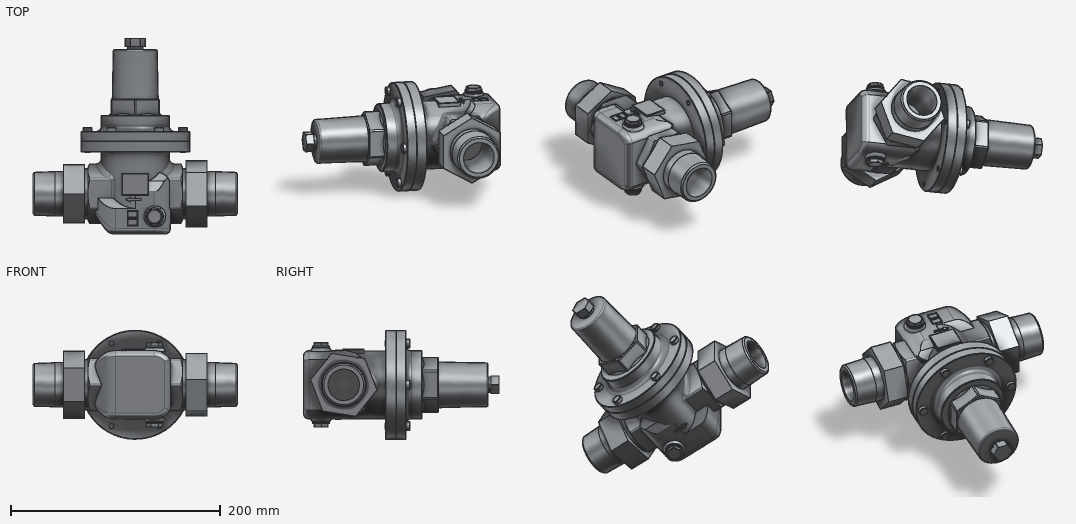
import cadquery as cq
import math


part_length = 195.0
bore_dia = 30.0
tube_dia = 42.7
thread_start_dia = 42.5
thread_end_dia = 41.0
thread_length = 21.0
tube_chamfer = 1.5
neck_dia = 48.0
port_half_length = 45.2
port_hex_flats = 50.0
port_hex_chamfer = 2.0
port_hex_edge_radius = 2.5
port_fillet = 5.0
fillet_bottom_y = -12.0
nut_inner_x = 48.3
nut_length = 20.2
nut_hex_flats = 55.5
left_nut_turn = 30.0
right_nut_turn = 51.0

total_height = 186.62
body_bottom_y = -38.5
top_y = body_bottom_y + total_height
stud_hex_y = 140.2
housing_top_y = 137.4
cap_hex_top_y = 90.3
ring_top_y = 74.8
ring_flare_y = 64.5
flange_top_y = 59.4
flange_joint_y = 49.9
flange_bottom_y = 39.9

stud_hex_flats = 17.0
stud_hex_round_dia = 19.4
stud_collar_dia = 15.0
housing_top_dia = 42.0
housing_bottom_dia = 44.0
housing_fillet = 1.5
cap_hex_flats = 46.3
cap_hex_round_dia = 52.4
cap_hex_chamfer = 1.0
cap_foot_bottom_dia = 51.0
cap_foot_top_dia = 44.0
cap_foot_height = 2.5
body_dia = 65.0
ring_chamfer = 0.7
flare_radius = ring_flare_y - flange_top_y
flange_dia = 104.0
flange_chamfer = 0.6
joint_groove = 0.5
joint_depth = 0.5
bolt_count = 6
bolt_circle_radius = 45.5
bolt_head_dia = 8.5
bolt_head_height = 3.7
bolt_head_chamfer = 0.5
bolt_tip_dia = 5.0
bolt_tip_length = 0.7

chamber_half_height = 32.6
chamber_left_x = -38.5
chamber_right_x = 33.5
chamber_left_shoulder_x = -19.0
chamber_right_shoulder_x = 18.0
chamber_fillet = 5.5
chamber_top_y = 20.5
chamber_corner_radius = 13.0
chamber_left_end_z = 20.0
chamber_right_end_z = 24.0
left_shoulder = [(-14.0, chamber_half_height), (-2.0, 23.5)]
right_shoulder = [(2.0, chamber_half_height), (12.0, 30.0), (chamber_top_y, 23.0)]
belly_start = (chamber_left_x, -18.0)
belly_middle = (-31.5, -29.5)
belly_end = (chamber_left_shoulder_x, body_bottom_y)
belly_tangents = [(0.3, -1), (1, 0)]
cylinder_bottom_y = -24.0
fillet_cylinder_bottom_y = -30.0

plug_x = 18.3
plug_y = -21.7
plug_top_z = 40.3
plug_hex_bottom_z = 37.1
plug_hex_flats = 13.0
plug_hex_turn = 3.0
plug_crown_dia = 12.6
plug_crown_height = 0.5
washer_dia = 16.5
washer_thickness = 1.4
plug_gap_dia = 15.0
boss_top_z = 34.9
boss_top_dia = 17.0
boss_base_dia = 21.4
boss_embed = 1.0
plate_width = 25.4
plate_top_y = 19.4
plate_bottom_y = -1.5
plate_top_z = 33.9
plate_thickness = 4.2
plate_chamfer = 0.6
arrow_y = -5.5
arrow_tail_x = 5.5
arrow_neck_x = -4.5
arrow_tip_x = -9.5
arrow_shaft_width = 2.0
arrow_head_width = 4.5
mark_height = 0.8
arrow_embed = 2.0
frame_x = -2.6
frame_centers_y = (-19.3, -27.1)
frame_width = 10.0
frame_height = 6.8
frame_wall = 0.8
frame_raise = 0.4


def corner_dia(flats):
    """Diameter across the corners of a hexagon."""
    return flats / math.cos(math.radians(30))


def along_y(y):
    """Workplane facing +Y at height y; its local x is X and its local y is -Z."""
    return cq.Workplane("XZ", origin=(0, y, 0)).transformed(rotate=(180, 0, 0))


def hex_x(flats, x, length, turn):
    """Hexagonal bar along +X with its first corner `turn` degrees from +Y toward +Z."""
    bar = cq.Workplane("YZ", origin=(x, 0, 0)).polygon(6, corner_dia(flats)).extrude(length)
    return bar.rotate((0, 0, 0), (1, 0, 0), turn)


def disc_y(dia, y0, y1):
    return along_y(y0).circle(dia / 2).extrude(y1 - y0)


def cone_y(dia0, dia1, y0, y1):
    return along_y(y0).circle(dia0 / 2).workplane(offset=y1 - y0).circle(dia1 / 2).loft()


def make_valve_cylinder(bottom_y):
    """Upright cylinder of the casting; its seam is turned to +Z, clear of the port hexagon's corners."""
    cylinder = disc_y(body_dia, bottom_y, flange_joint_y)
    return cylinder.rotate((0, 0, 0), (0, 1, 0), 90)


def make_port_hex():
    """Hexagonal wrench body through both ports, with its ends turned to a cone."""
    length = 2 * port_half_length
    bar = hex_x(port_hex_flats, -port_half_length, length, 0)
    bar = bar.edges("|X").fillet(port_hex_edge_radius)
    turned = (
        cq.Workplane("YZ", origin=(-port_half_length, 0, 0))
        .circle(corner_dia(port_hex_flats) / 2)
        .extrude(length)
        .faces("<X or >X")
        .chamfer(port_hex_chamfer, 2 * port_hex_chamfer)
    )
    return bar.intersect(turned)


def make_casting():
    """Upright valve cylinder and port hexagon, filleted where they meet above the chamber.

    The fillets need the cylinder to pass right through the hexagon. Below them it is
    replaced by a shorter cylinder that stays inside the chamber.
    """
    port_hex = make_port_hex()
    body = make_valve_cylinder(fillet_cylinder_bottom_y).union(port_hex)
    reach = body_dia / 2 + 1
    around_joint = cq.selectors.BoxSelector((-reach, fillet_cylinder_bottom_y, -reach), (reach, reach, reach))
    meeting_lines = body.edges(around_joint).edges("not(|X or %CIRCLE)")
    filleted = meeting_lines.fillet(port_fillet)
    below_fillets = (
        cq.Workplane("XY")
        .box(part_length, part_length, part_length)
        .translate((0, fillet_bottom_y - part_length / 2, 0))
    )
    return filleted.cut(below_fillets).union(port_hex).union(make_valve_cylinder(cylinder_bottom_y))


def chamber_half(side):
    """One half (side -1 left, +1 right) of the chamber, bounded in plan and by its sloping shoulder."""
    h = chamber_half_height
    if side < 0:
        shoulder_x, end = chamber_left_shoulder_x, (chamber_left_x, chamber_left_end_z)
        shoulder = left_shoulder
    else:
        shoulder_x, end = chamber_right_shoulder_x, (chamber_right_x, chamber_right_end_z)
        shoulder = right_shoulder
    run = abs(end[0] - shoulder_x)
    drop = h - end[1]
    radius = (run**2 + drop**2) / (2 * drop)
    half_turn = math.asin(run / radius) / 2
    mid = (shoulder_x + side * radius * math.sin(half_turn), h - radius * (1 - math.cos(half_turn)))
    plan = (
        cq.Workplane("XZ", origin=(0, shoulder[-1][0], 0))
        .moveTo(0, h)
        .lineTo(shoulder_x, h)
        .threePointArc(mid, end)
        .lineTo(end[0], -end[1])
        .threePointArc((mid[0], -mid[1]), (shoulder_x, -h))
        .lineTo(0, -h)
        .close()
        .extrude(shoulder[-1][0] - body_bottom_y)
    )
    slope = [(body_bottom_y, h)] + shoulder
    outline = slope + [(y, -z) for y, z in reversed(slope)]
    side_view = cq.Workplane("YZ").polyline(outline).close().extrude(side * part_length / 2)
    return plan.intersect(side_view)


def make_chamber():
    """Lower chamber with a round lower-left corner and a rounded floor."""
    front = (
        cq.Workplane("XY", origin=(0, 0, -chamber_half_height))
        .moveTo(0, chamber_top_y)
        .lineTo(chamber_left_x, chamber_top_y)
        .lineTo(*belly_start)
        .spline([belly_middle, belly_end], tangents=belly_tangents, includeCurrent=True)
        .lineTo(chamber_right_x, body_bottom_y)
        .lineTo(chamber_right_x, chamber_top_y - chamber_corner_radius)
        .tangentArcPoint((-chamber_corner_radius, chamber_corner_radius))
        .close()
        .extrude(2 * chamber_half_height)
    )
    block = chamber_half(-1).union(chamber_half(1)).intersect(front)
    floor_edges = block.faces("<Y").edges("not <X")
    belly_edges = block.edges("%BSPLINE").edges("<X")
    return floor_edges.add(belly_edges).fillet(chamber_fillet)


def make_flanges():
    lower = disc_y(flange_dia, flange_bottom_y, flange_joint_y - joint_groove / 2)
    upper = disc_y(flange_dia, flange_joint_y + joint_groove / 2, flange_top_y)
    joint = disc_y(flange_dia - 2 * joint_depth, flange_bottom_y, flange_top_y)
    lower = lower.faces("<Y").chamfer(flange_chamfer)
    upper = upper.faces(">Y").chamfer(flange_chamfer)
    return lower.union(joint).union(upper)


def make_flange_bolts():
    bolts = cq.Workplane()
    for i in range(bolt_count):
        angle = 2 * math.pi * i / bolt_count
        head = disc_y(bolt_head_dia, flange_top_y, flange_top_y + bolt_head_height)
        head = head.faces(">Y").chamfer(bolt_head_chamfer)
        tip = disc_y(bolt_tip_dia, flange_bottom_y - bolt_tip_length, flange_top_y)
        spot = (bolt_circle_radius * math.cos(angle), 0, bolt_circle_radius * math.sin(angle))
        bolts = bolts.add(head.union(tip).translate(spot))
    return bolts.combine()


def make_ring():
    """Round shoulder above the flange, flaring out into it with a quarter round."""
    r = body_dia / 2
    flare_bulge = flare_radius * (1 - math.sqrt(0.5))
    return (
        cq.Workplane("XY")
        .moveTo(0, flange_joint_y)
        .lineTo(r + flare_radius, flange_joint_y)
        .lineTo(r + flare_radius, flange_top_y)
        .threePointArc((r + flare_bulge, flange_top_y + flare_bulge), (r, ring_flare_y))
        .lineTo(r, ring_top_y - ring_chamfer)
        .lineTo(r - ring_chamfer, ring_top_y)
        .lineTo(0, ring_top_y)
        .close()
        .revolve(360, (0, 0, 0), (0, 1, 0))
    )


def make_cap_hex():
    """Hexagon under the spring housing, with two corners on the Z axis and a conical foot."""
    height = cap_hex_top_y - ring_top_y
    plane = along_y(ring_top_y).transformed(rotate=(0, 0, 30))
    bar = plane.polygon(6, corner_dia(cap_hex_flats)).extrude(height)
    bar = bar.faces(">Y").chamfer(cap_hex_chamfer)
    bar = bar.intersect(disc_y(cap_hex_round_dia, ring_top_y, cap_hex_top_y))
    return bar.union(cone_y(cap_foot_bottom_dia, cap_foot_top_dia, ring_top_y, ring_top_y + cap_foot_height))


def make_spring_housing():
    cone = cone_y(housing_bottom_dia, housing_top_dia, cap_hex_top_y, housing_top_y)
    return cone.faces(">Y").edges().fillet(housing_fillet)


def make_adjusting_screw():
    head = along_y(stud_hex_y).polygon(6, corner_dia(stud_hex_flats)).extrude(top_y - stud_hex_y)
    head = head.intersect(disc_y(stud_hex_round_dia, stud_hex_y, top_y))
    return head.union(disc_y(stud_collar_dia, housing_top_y, stud_hex_y))


def make_pipe_end(side, nut_turn):
    """Union nut and threaded tailpiece on one port (side -1 left, +1 right)."""
    end_x = part_length / 2
    thread_x = end_x - thread_length
    profile = [
        (0, 0),
        (0, neck_dia / 2),
        (nut_inner_x, neck_dia / 2),
        (nut_inner_x, tube_dia / 2),
        (thread_x, tube_dia / 2),
        (thread_x, thread_start_dia / 2),
        (end_x - tube_chamfer, thread_end_dia / 2),
        (end_x, thread_end_dia / 2 - tube_chamfer),
        (end_x, 0),
    ]
    outline = [(side * x, r) for x, r in profile]
    pipe = cq.Workplane("XY").polyline(outline).close().revolve(360, (0, 0, 0), (1, 0, 0))
    nut_start = nut_inner_x if side > 0 else -nut_inner_x - nut_length
    return pipe.union(hex_x(nut_hex_flats, nut_start, nut_length, nut_turn))


def make_bore(side):
    """Blind bore through one tailpiece down to the casting."""
    depth = part_length / 2 - port_half_length
    plane = cq.Workplane("YZ", origin=(side * port_half_length, 0, 0))
    return plane.circle(bore_dia / 2).extrude(side * depth)


def make_plug():
    """Conical boss, washer and hexagonal gauge plug on the +Z side."""
    def level(z):
        return cq.Workplane("XY", origin=(plug_x, plug_y, z))

    base_z = chamber_half_height - boss_embed
    boss = (
        level(base_z)
        .circle(boss_base_dia / 2)
        .workplane(offset=boss_top_z - base_z)
        .circle(boss_top_dia / 2)
        .loft()
    )
    gap = level(base_z).circle(plug_gap_dia / 2).extrude(plug_hex_bottom_z - base_z)
    washer = level(plug_hex_bottom_z).circle(washer_dia / 2).extrude(-washer_thickness)
    head = (
        level(plug_hex_bottom_z)
        .transformed(rotate=(0, 0, plug_hex_turn))
        .polygon(6, corner_dia(plug_hex_flats))
        .extrude(plug_top_z - plug_hex_bottom_z)
    )
    crown = (
        level(plug_hex_bottom_z)
        .circle(corner_dia(plug_hex_flats) / 2)
        .extrude(plug_top_z - plug_hex_bottom_z)
        .faces(">Z")
        .chamfer(plug_crown_height, (corner_dia(plug_hex_flats) - plug_crown_dia) / 2)
    )
    head = head.intersect(crown)
    return boss.union(gap).union(washer).union(head)


def make_name_plate():
    return (
        cq.Workplane("XY", origin=(0, (plate_top_y + plate_bottom_y) / 2, plate_top_z))
        .rect(plate_width, plate_top_y - plate_bottom_y)
        .extrude(-plate_thickness)
        .faces(">Z")
        .chamfer(plate_chamfer)
    )


def make_flow_arrow():
    """Raised arrow on the +Z side, pointing toward -X."""
    half = [
        (arrow_tail_x, arrow_shaft_width / 2),
        (arrow_neck_x, arrow_shaft_width / 2),
        (arrow_neck_x, arrow_head_width / 2),
    ]
    outline = half + [(arrow_tip_x, 0)] + [(x, -y) for x, y in reversed(half)]
    base_z = body_dia / 2 - arrow_embed
    return (
        cq.Workplane("XY", origin=(0, arrow_y, base_z))
        .polyline(outline)
        .close()
        .extrude(body_dia / 2 + mark_height - base_z)
    )


def make_frame(y):
    """Raised rectangular frame on the flat +Z side of the chamber."""
    base = cq.Workplane("XY", origin=(frame_x, y, chamber_half_height - frame_raise))
    outer = base.rect(frame_width, frame_height).extrude(2 * frame_raise)
    inner = base.rect(frame_width - 2 * frame_wall, frame_height - 2 * frame_wall).extrude(2 * frame_raise)
    return outer.cut(inner)


result = make_casting().union(make_chamber())
for piece in (
    make_flanges(),
    make_flange_bolts(),
    make_ring(),
    make_cap_hex(),
    make_spring_housing(),
    make_adjusting_screw(),
    make_name_plate(),
):
    result = result.union(piece)
for piece in (make_plug(), make_flow_arrow()):
    result = result.union(piece).union(piece.mirror("XY"))
for center_y in frame_centers_y:
    result = result.union(make_frame(center_y))
for side, nut_turn in ((-1, left_nut_turn), (1, right_nut_turn)):
    result = result.union(make_pipe_end(side, nut_turn)).cut(make_bore(side))